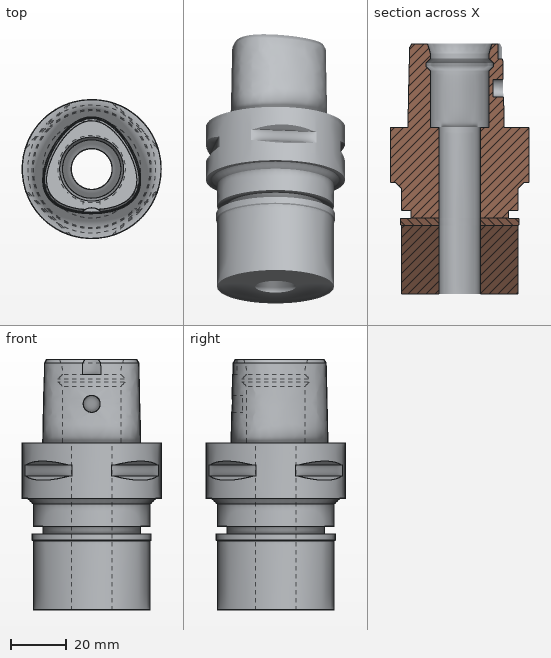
import cadquery as cq
import math

total_height = 90.0
flange_top = 60.0
flange_bottom = 40.0
flange_cone_bottom = 38.0
neck_top = 30.0
neck_bottom = 27.3
ring_bottom = 24.7

flange_radius = 25.0
barrel_radius = 21.0
flange_cone_radius = barrel_radius + (flange_bottom - flange_cone_bottom)
neck_radius = 17.6
ring_radius = 21.4
ring_chamfer = ring_radius - barrel_radius

shank_radius = 17.43
lobe_height = 1.35
taper_slope = 0.0225
shank_chamfer_height = 1.4
shank_chamfer_inset = 0.8
profile_points = 36

through_radius = 7.3
mouth_radius = 11.5
bore_radius = 10.5
mouth_depth = 3.5
groove_radius = 12.1
groove_start = 5.4
groove_end = 9.7
groove_flare = groove_radius - bore_radius
bore_depth = total_height - flange_top

keyway_radius = 4.5
keyway_inner_y = -13.9
keyway_floor = 84.6
hole_diameter = 6.1
hole_height = 74.0
hole_floor_y = -12.0

slot_count = 4
slot_middle = (flange_top + flange_bottom) / 2
slot_height = 4.0
slot_floor = 22.0
slot_flare_start = 22.5
slot_flare_angle = 30.0
slot_length = 2 * flange_radius


def revolve_profile(points):
    """Turn a closed (radius, height) outline around the Z axis."""
    return cq.Workplane("XZ").polyline(points).close().revolve(360, (0, 0), (0, 1))


def lobed_section(radius, height):
    """Closed three-lobed curve with one lobe toward +Y, starting at the -Y side."""
    points = []
    for index in range(profile_points):
        angle = math.pi + 2 * math.pi * index / profile_points
        x = lobe_height * math.sin(2 * angle) - radius * math.sin(angle)
        y = radius * math.cos(angle) + lobe_height * math.cos(2 * angle)
        points.append(cq.Vector(x, y, height))
    return cq.Wire.assembleEdges([cq.Edge.makeSpline(points, periodic=True)])


def make_shank():
    chamfer_start = total_height - shank_chamfer_height
    chamfer_radius = shank_radius - taper_slope * (chamfer_start - flange_top)
    base = lobed_section(shank_radius, flange_top)
    shoulder = lobed_section(chamfer_radius, chamfer_start)
    tip = lobed_section(chamfer_radius - shank_chamfer_inset, total_height)
    return cq.Workplane(cq.Solid.makeLoft([base, shoulder, tip], True))


def make_turned_body():
    return revolve_profile([
        (0, neck_bottom),
        (neck_radius, neck_bottom),
        (neck_radius, neck_top),
        (barrel_radius, neck_top),
        (barrel_radius, flange_cone_bottom),
        (flange_cone_radius, flange_bottom),
        (flange_radius, flange_bottom),
        (flange_radius, flange_top),
        (0, flange_top),
    ])


def make_bore():
    """Tapered mouth, grooved counterbore and through hole, as one turned cutter."""
    return revolve_profile([
        (0, neck_bottom),
        (through_radius, neck_bottom),
        (through_radius, total_height - bore_depth),
        (bore_radius, total_height - bore_depth),
        (bore_radius, total_height - groove_end),
        (groove_radius, total_height - groove_end + groove_flare),
        (groove_radius, total_height - groove_start - groove_flare),
        (bore_radius, total_height - groove_start),
        (bore_radius, total_height - mouth_depth),
        (mouth_radius, total_height),
        (0, total_height),
    ])


def make_keyway():
    return (
        cq.Workplane("XY", origin=(0, keyway_inner_y - keyway_radius, keyway_floor))
        .circle(keyway_radius)
        .extrude(total_height - keyway_floor)
    )


def make_side_hole():
    return (
        cq.Workplane("XZ", origin=(0, hole_floor_y, hole_height))
        .circle(hole_diameter / 2)
        .extrude(flange_radius)
    )


def make_gripper_slot():
    """Flat-bottomed slot facing +X whose upper and lower walls flare outward."""
    outer = flange_radius + slot_height
    half_height = slot_height / 2
    flare = (outer - slot_flare_start) * math.tan(math.radians(slot_flare_angle))
    return (
        cq.Workplane("XZ", origin=(0, 0, slot_middle))
        .moveTo(slot_floor, -half_height)
        .lineTo(slot_flare_start, -half_height)
        .lineTo(outer, -half_height - flare)
        .lineTo(outer, half_height + flare)
        .lineTo(slot_flare_start, half_height)
        .lineTo(slot_floor, half_height)
        .close()
        .extrude(slot_length / 2, both=True)
    )


def make_holder():
    holder = make_turned_body().union(make_shank())
    holder = holder.cut(make_bore()).cut(make_keyway()).cut(make_side_hole())
    slot = make_gripper_slot()
    for index in range(slot_count):
        angle = 360 / slot_count * (index + 0.5)
        holder = holder.cut(slot.rotate((0, 0, 0), (0, 0, 1), angle))
    return holder


def make_ring():
    """Collar between the holder's neck and the sleeve, chamfered at its lower rim."""
    return revolve_profile([
        (through_radius, ring_bottom),
        (barrel_radius, ring_bottom),
        (ring_radius, ring_bottom + ring_chamfer),
        (ring_radius, neck_bottom),
        (through_radius, neck_bottom),
    ])


def make_sleeve():
    return cq.Workplane("XY").circle(barrel_radius).circle(through_radius).extrude(ring_bottom)


holder = make_holder()
ring = make_ring()
sleeve = make_sleeve()

result = cq.Compound.makeCompound([holder.val(), ring.val(), sleeve.val()])